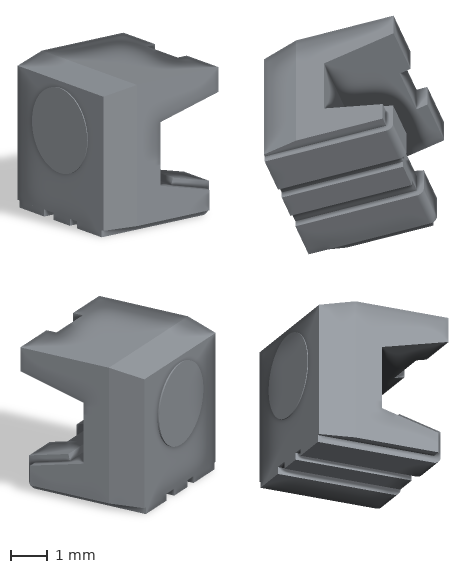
import cadquery as cq
import math

width = 4.2
height = 4.2
depth = 3.8
front_y = 0.0
back_y = front_y + depth

lead_thickness = 0.2
body_bottom = lead_thickness

taper_depth = 1.0
taper_inset = 0.2

mouth_floor_y = 1.8
mouth_floor_bottom = 1.2
mouth_floor_top = 3.0
jaw_slope = 14.0
lower_jaw_back_y = 3.49

notch_width = 1.4
notch_depth = 0.31

tab_width = 0.72
tab_center_x = 0.05

lead_width = 1.1
lead_spacing = 2.54
lead_center_x = 0.0
lead_bend_radius = 0.2
lead_tip_y = 2.4

lens_diameter = 2.402
lens_center_x = 0.005
lens_z = 2.61
lens_proud_left = 0.05
lens_proud_right = 0.02


def ramp_rise(run):
    """Height gained along a jaw face over a horizontal run."""
    return run * math.tan(math.radians(jaw_slope))


lower_jaw_back_z = mouth_floor_bottom - ramp_rise(lower_jaw_back_y - mouth_floor_y)
upper_jaw_back_z = mouth_floor_top + ramp_rise(back_y - mouth_floor_y)


def make_housing():
    profile = [
        (front_y, body_bottom),
        (lower_jaw_back_y, body_bottom),
        (lower_jaw_back_y, lower_jaw_back_z),
        (mouth_floor_y, mouth_floor_bottom),
        (mouth_floor_y, mouth_floor_top),
        (back_y, upper_jaw_back_z),
        (back_y, height),
        (front_y + taper_depth, height),
        (front_y, height - taper_inset),
    ]
    block = cq.Workplane("YZ").polyline(profile).close().extrude(width / 2, both=True)

    half_width = width / 2
    plan = [
        (half_width - taper_inset, front_y),
        (half_width, front_y + taper_depth),
        (half_width, back_y),
        (-half_width, back_y),
        (-half_width, front_y + taper_depth),
        (-half_width + taper_inset, front_y),
    ]
    block = block.intersect(cq.Workplane("XY").polyline(plan).close().extrude(height))

    notch = cq.Workplane("XY").box(
        notch_width, notch_depth, height, centered=(True, False, False)
    ).translate((0, back_y - notch_depth, 0))

    tab = cq.Workplane("XY").box(
        tab_width, lower_jaw_back_y - front_y, body_bottom, centered=(True, False, False)
    ).translate((tab_center_x, front_y, 0))

    return block.cut(notch).union(tab)


def make_lead(center_x):
    """Strip running under the housing, up its back and onto the lower jaw."""
    slope = math.radians(jaw_slope)
    outer_y = lower_jaw_back_y + lead_thickness
    tip_z = mouth_floor_bottom - ramp_rise(lead_tip_y - mouth_floor_y)
    tip_top_y = lead_tip_y + lead_thickness * math.sin(slope)
    tip_top_z = tip_z + lead_thickness * math.cos(slope)
    outer_back_z = tip_top_z - ramp_rise(outer_y - tip_top_y)
    bend_mid_y = outer_y - lead_bend_radius * (1 - math.sqrt(0.5))
    bend_mid_z = lead_bend_radius * (1 - math.sqrt(0.5))

    strip = (
        cq.Workplane("YZ")
        .moveTo(front_y, 0)
        .lineTo(outer_y - lead_bend_radius, 0)
        .threePointArc((bend_mid_y, bend_mid_z), (outer_y, lead_bend_radius))
        .lineTo(outer_y, outer_back_z)
        .lineTo(tip_top_y, tip_top_z)
        .lineTo(lead_tip_y, tip_z)
        .lineTo(lower_jaw_back_y, lower_jaw_back_z)
        .lineTo(lower_jaw_back_y, body_bottom)
        .lineTo(front_y, body_bottom)
        .close()
        .extrude(lead_width / 2, both=True)
    )
    return strip.translate((center_x, 0, 0))


def make_lens():
    """Thin wedge-shaped disc whose flat face leans slightly towards +X."""
    radius = lens_diameter / 2
    side_profile = [
        (-radius, front_y),
        (radius, front_y),
        (radius, front_y - lens_proud_right),
        (-radius, front_y - lens_proud_left),
    ]
    wedge = cq.Workplane("XY").polyline(side_profile).close().extrude(radius, both=True)
    wedge = wedge.translate((0, 0, lens_z))
    cylinder = (
        cq.Workplane("XZ", origin=(0, front_y, lens_z))
        .circle(radius)
        .extrude(lens_proud_left)
    )
    return cylinder.intersect(wedge).translate((lens_center_x, 0, 0))


housing = make_housing()
leads = [make_lead(lead_center_x + side * lead_spacing / 2) for side in (-1, 1)]
lens = make_lens()

result = cq.Compound.makeCompound([housing.val(), *[lead.val() for lead in leads], lens.val()])